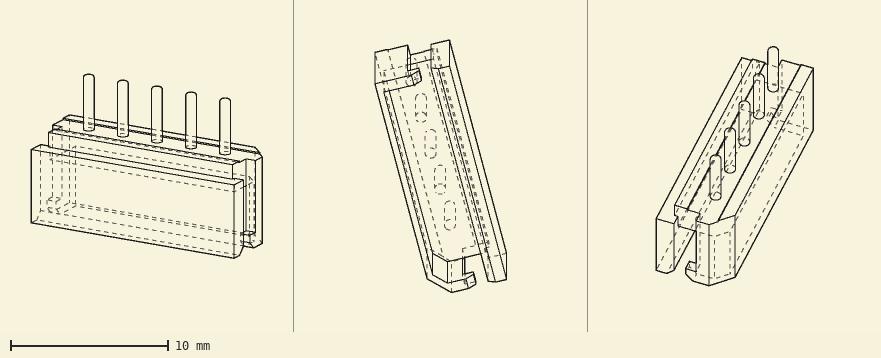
import cadquery as cq

length = 14.9
depth = 4.9
total_height = 9.4
body_height = 5.87

plate_thickness = 1.22
plate_height = 4.9
lead_in = 0.49

block_front = 1.0
roof_underside = 4.0

end_wall = 0.69
slot_back = depth - 2.16
hook_front = depth - 2.89
hook_height = 0.98

back_wall = 0.42
corner_chamfer = 1.28
cavity_chamfer = 0.77

channel_front = depth - 3.04
channel_back = depth - 0.85
channel_depth = 0.09

pin_count = 5
pin_pitch = 2.5
pin_diameter = 0.7
pin_tip_radius = 0.18
pin_y = depth - 1.79


def box(x0, x1, y0, y1, z0, z1):
    """Box between two corners."""
    return cq.Workplane("XY").box(x1 - x0, y1 - y0, z1 - z0, centered=False).translate((x0, y0, z0))


def make_envelope():
    """Stepped block with one back corner cut off."""
    profile = [
        (0, 0),
        (depth, 0),
        (depth, body_height),
        (block_front, body_height),
        (block_front, plate_height),
        (0, plate_height),
    ]
    envelope = cq.Workplane("YZ").polyline(profile).close().extrude(length)
    return envelope.edges("|Z and >X and >Y").chamfer(corner_chamfer)


def make_cavity():
    """Socket open at the bottom, following the cut corner."""
    cavity = box(end_wall, length - end_wall, plate_thickness, depth - back_wall, 0, roof_underside)
    return cavity.edges("|Z and >X and >Y").chamfer(cavity_chamfer)


def make_lower_slot():
    """Full-length slot with a flared mouth between the hooks and the plate."""
    profile = [
        (plate_thickness - lead_in, 0),
        (hook_front + lead_in, 0),
        (hook_front, lead_in),
        (hook_front, hook_height),
        (slot_back, hook_height),
        (slot_back, roof_underside),
        (plate_thickness, roof_underside),
        (plate_thickness, lead_in),
    ]
    return cq.Workplane("YZ").polyline(profile).close().extrude(length)


def make_end_notch(x0):
    """Continuation of the slot up through the top at one end."""
    notch = box(x0, x0 + end_wall, plate_thickness, slot_back, roof_underside, body_height)
    above_plate = box(x0, x0 + end_wall, 0, plate_thickness, plate_height, body_height)
    return notch.union(above_plate)


def make_pin(x):
    """Round pin with a rounded tip, standing on the roof."""
    pin = cq.Workplane("XY").circle(pin_diameter / 2).extrude(total_height - roof_underside)
    return pin.faces(">Z").edges().fillet(pin_tip_radius).translate((x, pin_y, roof_underside))


result = make_envelope().cut(make_cavity()).cut(make_lower_slot())

for notch_start in (0, length - end_wall):
    result = result.cut(make_end_notch(notch_start))

channel_floor = body_height - channel_depth
result = result.cut(box(0, length, channel_front, channel_back, channel_floor, body_height))

first_pin_x = (length - (pin_count - 1) * pin_pitch) / 2
for index in range(pin_count):
    result = result.union(make_pin(first_pin_x + index * pin_pitch))